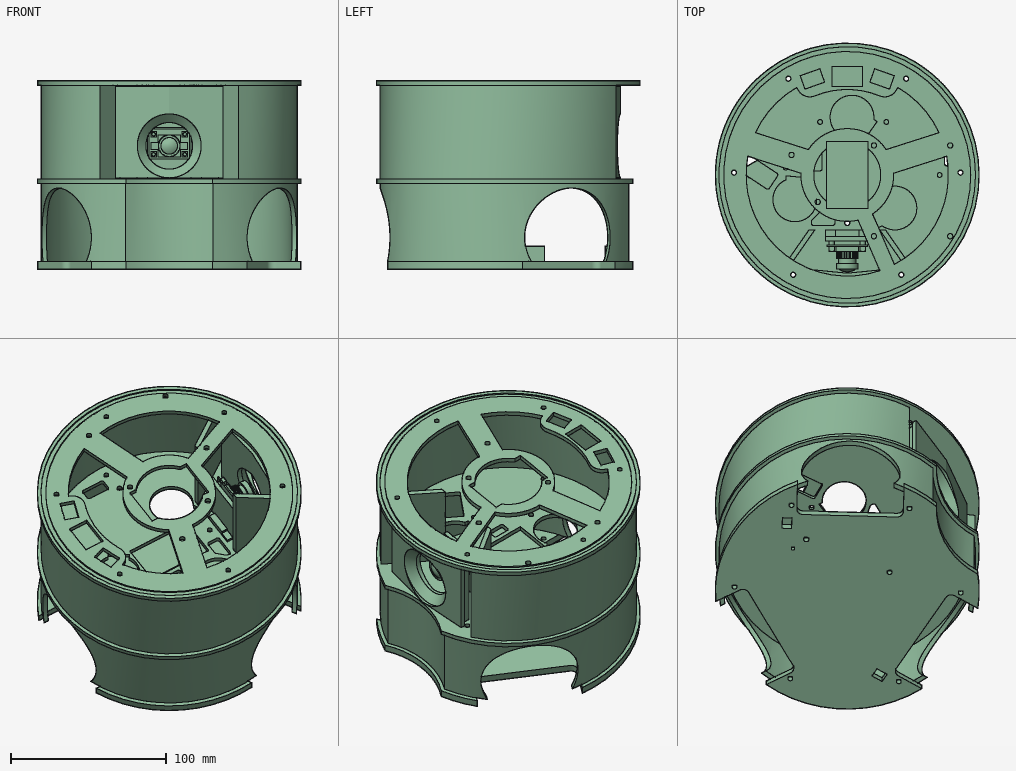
import cadquery as cq
import math

base_thickness = 5.0
plate_thickness = 3.0
total_height = 121.0
mid_bottom = 55.0
mid_top = mid_bottom + plate_thickness
deck_bottom = total_height - plate_thickness

plate_radius = 84.6
shell_radius = 164.5 / 2
shell_inner_radius = 158.4 / 2
shell_wall = shell_radius - shell_inner_radius

scoop_radius = 54.1
scoop_axis_y = -72.2 - scoop_radius
shell_setback = plate_radius - shell_radius
shell_scoop_radius = scoop_radius + shell_setback

wheel_angles = (90, 210, 330)
arch_radius = 31.6
arch_axis_z = 20.5
wheel_notch_half_width = 34.2
wheel_notch_depth = 55.7
wheel_notch_corner = 4.0

screw_diameter = 3.0
deck_hole_diameter = 3.4
small_hole_diameter = 2.2
stack_screws = [(sx * x, y) for x, y in ((72.6, 1.5), (37.7, 61.8), (34.7, -64.0)) for sx in (-1, 1)]
axis_screw = (0, -30.8)

hub_hole_radius = 21.5
hub_slot_width = 26.7
hub_slot_length = 2 * hub_hole_radius

camera_z = 79.2
board_back = -39.5
board_front = -42.3
holder_front = -48.9
board_width = 28.1
board_top = 90.9


def disc(radius, bottom, height):
    """Solid vertical cylinder on the part axis."""
    return cq.Workplane("XY").workplane(offset=bottom).circle(radius).extrude(height)


def scoop(radius, bottom, height):
    """Vertical cylinder that scoops out the front of a plate or shell."""
    return disc(radius, bottom, height).translate((0, scoop_axis_y, 0))


def drill(body, points, diameter, bottom, height):
    """Cut the same round vertical hole at every point."""
    pins = cq.Workplane("XY").workplane(offset=bottom).pushPoints(points)
    return body.cut(pins.circle(diameter / 2).extrude(height))


def block(x_range, y_range, z_range):
    """Box given by its limits along each axis."""
    spans = [high - low for low, high in (x_range, y_range, z_range)]
    corner = (x_range[0], y_range[0], z_range[0])
    return cq.Workplane("XY").box(*spans, centered=False).translate(corner)


def y_cylinder(radius, back, front, x, z):
    """Cylinder along Y from its back face forward to its front face."""
    plane = cq.Workplane("XZ", origin=(x, back, z))
    return plane.circle(radius).extrude(back - front)


def scooped_plate(bottom, thickness):
    """Round plate with the concave front scoop."""
    return disc(plate_radius, bottom, thickness).cut(scoop(scoop_radius, bottom, thickness))


def base_slot(side):
    """Small wire opening in the base beside a front wheel."""
    slot_x = 62.6
    slot_y = 10.2
    slot_length = 7.6
    slot_width = 6.1
    slant = 30
    slot = cq.Workplane("XY").rect(slot_length, slot_width).extrude(base_thickness)
    return slot.rotate((0, 0, 0), (0, 0, 1), -slant * side).translate((side * slot_x, slot_y, 0))


def make_base():
    base = scooped_plate(0, base_thickness)

    notch_length = plate_radius - wheel_notch_depth
    notch = (
        cq.Workplane("XY")
        .center(wheel_notch_depth + notch_length / 2, 0)
        .rect(notch_length, 2 * wheel_notch_half_width)
        .extrude(base_thickness)
        .edges("|Z and <X")
        .fillet(wheel_notch_corner)
    )
    for angle in wheel_angles:
        base = base.cut(notch.rotate((0, 0, 0), (0, 0, 1), angle))

    base = drill(base, stack_screws + [axis_screw], screw_diameter, 0, base_thickness)
    for side in (-1, 1):
        base = base.cut(base_slot(side))

    small_screw = (-44.5, 15.5)
    large_screw = (-46.4, 4.9)
    base = drill(base, [small_screw], small_hole_diameter, 0, base_thickness)
    base = drill(base, [large_screw], deck_hole_diameter, 0, base_thickness)

    pad_top = 14.9
    pad_half_width = 14.0
    pad_half_length = 23.3
    rib_half_width = 8.5
    rib_y = (-66.0, -62.1)
    pad_z = (base_thickness, pad_top)
    base = base.union(block((-pad_half_width, pad_half_width), (-pad_half_length, pad_half_length), pad_z))
    base = base.union(block((-rib_half_width, rib_half_width), rib_y, pad_z))
    return base


def make_lower_shell():
    height = mid_bottom - base_thickness
    outer_scoop = scoop(shell_scoop_radius, base_thickness, height)
    inner_scoop = scoop(shell_scoop_radius + shell_wall, base_thickness, height)
    outside = disc(shell_radius, base_thickness, height).cut(outer_scoop)
    inside = disc(shell_inner_radius, base_thickness, height).cut(inner_scoop)
    shell = outside.cut(inside)

    arch = cq.Workplane("YZ").center(0, arch_axis_z).circle(arch_radius).extrude(plate_radius)
    for angle in wheel_angles:
        shell = shell.cut(arch.rotate((0, 0, 0), (0, 0, 1), angle))
    return shell


def make_middle_plate():
    plate = scooped_plate(mid_bottom, plate_thickness)
    sketch = cq.Workplane("XY").workplane(offset=mid_bottom)

    opening_x = 3.0
    opening_y = 37.0
    opening_diameter = 28.1
    relief_length = 13.5
    relief_width = 11.8
    relief_corner = (19.1, 34.2)
    relief_angle = 234.5
    opening = sketch.center(opening_x, opening_y).circle(opening_diameter / 2).extrude(plate_thickness)
    relief = (
        sketch.rect(relief_length, -relief_width, centered=False)
        .extrude(plate_thickness)
        .rotate((0, 0, 0), (0, 0, 1), relief_angle)
        .translate((*relief_corner, 0))
    )
    for turn in (0, 120, 240):
        plate = plate.cut(opening.union(relief).rotate((0, 0, 0), (0, 0, 1), turn))

    plate = plate.cut(sketch.rect(hub_slot_width, hub_slot_length).extrude(plate_thickness))

    slot_corner = 1.4
    cable_slot_length = 22.8
    cable_slot_width = 12.0
    cable_slot_slant = -33.5
    cable_slot_place = (-56.9, 1.7, 0)
    cable_slot = (
        sketch.rect(cable_slot_length, cable_slot_width)
        .extrude(plate_thickness)
        .edges("|Z")
        .fillet(slot_corner)
        .rotate((0, 0, 0), (0, 0, 1), cable_slot_slant)
        .translate(cable_slot_place)
    )
    plate = plate.cut(cable_slot)

    for x, y, width, length in ((-19.5, 8.5, 6.8, 11.5), (66.3, 13.7, 7.8, 15.9)):
        slot = sketch.center(x, y).rect(width, length).extrude(plate_thickness)
        plate = plate.cut(slot.edges("|Z").fillet(slot_corner))

    corner_slot_outline = [(-23.0, -29.3), (-23.0, -32.3), (-8.0, -32.3), (-8.0, -23.7), (-17.5, -23.7)]
    corner_slot = sketch.polyline(corner_slot_outline).close().extrude(plate_thickness)
    plate = plate.cut(corner_slot.edges("|Z").fillet(slot_corner))

    mount_screws = [(-17.5, 34.0), (25.0, 34.0), (-39.5, 4.7), (59.2, 0), axis_screw]
    return drill(plate, stack_screws + mount_screws, screw_diameter, mid_bottom, plate_thickness)


def make_upper_shell():
    height = deck_bottom - mid_top
    sketch = cq.Workplane("XY").workplane(offset=mid_top)
    ring = sketch.circle(shell_radius).circle(shell_inner_radius).extrude(height)

    back_x = 20.8
    back_y = -35.2
    jamb_slope = 14.0 / 20.1
    front_y = -plate_radius
    front_x = back_x + jamb_slope * (back_y - front_y)
    jamb_width = shell_wall * math.hypot(1, jamb_slope)

    bay = [(-back_x, back_y), (back_x, back_y), (front_x, front_y), (-front_x, front_y)]
    shell = ring.cut(sketch.polyline(bay).close().extrude(height))

    envelope = disc(shell_radius, mid_top, height)
    for side in (-1, 1):
        jamb = [
            (side * back_x, back_y),
            (side * front_x, front_y),
            (side * (front_x + jamb_width), front_y),
            (side * (back_x + jamb_width), back_y),
        ]
        shell = shell.union(sketch.polyline(jamb).close().extrude(height).intersect(envelope))
    return shell


def deck_window(start, end, start_half_spoke, end_half_spoke):
    """Opening between two spokes, from the hub ring to the rim.

    start and end are the centre angles of the spokes, counter-clockwise.
    """
    window_radius = 64.8
    hub_radius = 29.8

    def corner(radius, angle, offset):
        turn = math.radians(angle) + math.asin(offset / radius)
        return (radius * math.cos(turn), radius * math.sin(turn))

    def middle(radius):
        turn = math.radians((start + end) / 2)
        return (radius * math.cos(turn), radius * math.sin(turn))

    return (
        cq.Workplane("XY")
        .workplane(offset=deck_bottom)
        .moveTo(*corner(hub_radius, start, start_half_spoke))
        .lineTo(*corner(window_radius, start, start_half_spoke))
        .threePointArc(middle(window_radius), corner(window_radius, end, -end_half_spoke))
        .lineTo(*corner(hub_radius, end, -end_half_spoke))
        .threePointArc(middle(hub_radius), corner(hub_radius, start, start_half_spoke))
        .close()
        .extrude(plate_thickness)
    )


def make_top_plate():
    deck = disc(plate_radius, deck_bottom, plate_thickness)
    sketch = cq.Workplane("XY").workplane(offset=deck_bottom)

    right_spoke = 17.7
    left_spoke = 180 - right_spoke
    narrow_spoke = 360 - 66.7
    wide_half = 8.0
    narrow_half = 5.0
    back_window = deck_window(right_spoke, left_spoke, wide_half, wide_half)
    left_window = deck_window(left_spoke, narrow_spoke, wide_half, narrow_half)
    right_window = deck_window(narrow_spoke, right_spoke + 360, narrow_half, wide_half)

    land_radius = 54.8
    land_half_angle = math.radians(30)
    land_reach = 76.1
    land_corner = 8.5
    land_x = land_reach * math.sin(land_half_angle)
    land_y = land_reach * math.cos(land_half_angle)
    land = (
        sketch.polyline([(0, 0), (land_x, land_y), (0, land_reach), (-land_x, land_y)])
        .close()
        .extrude(plate_thickness)
        .cut(disc(land_radius, deck_bottom, plate_thickness))
        .edges("|Z and <Y")
        .fillet(land_corner)
    )
    deck = deck.cut(back_window.cut(land)).cut(left_window).cut(right_window)

    deck = deck.cut(disc(hub_hole_radius, deck_bottom, plate_thickness))
    deck = deck.cut(sketch.rect(hub_slot_width, hub_slot_length).extrude(plate_thickness))

    centre_pocket_y = 63.1
    centre_pocket_width = 19.6
    centre_pocket_length = 13.0
    centre_pocket = sketch.center(0, centre_pocket_y).rect(centre_pocket_width, centre_pocket_length)
    deck = deck.cut(centre_pocket.extrude(plate_thickness))
    side_pocket_x = 22.3
    side_pocket_y = 61.6
    side_pocket_width = 13.4
    side_pocket_length = 9.1
    side_pocket_slant = 19.5
    for side in (-1, 1):
        pocket = sketch.rect(side_pocket_width, side_pocket_length).extrude(plate_thickness)
        pocket = pocket.rotate((0, 0, 0), (0, 0, 1), -side_pocket_slant * side)
        pocket = pocket.translate((side * side_pocket_x, side_pocket_y, 0))
        deck = deck.cut(pocket)

    groove_depth = 1.0
    groove = (
        cq.Workplane("XY")
        .workplane(offset=total_height - groove_depth)
        .circle(shell_radius)
        .circle(shell_inner_radius)
        .extrude(groove_depth)
    )
    deck = deck.cut(groove)

    deck_holes = [(-35.7, 12.9), (17.1, 19.0), (-19.0, -17.3), (17.1, -39.3), (66.0, 19.0), (66.0, -39.3)]
    deck = drill(deck, stack_screws, screw_diameter, deck_bottom, plate_thickness)
    return drill(deck, deck_holes, deck_hole_diameter, deck_bottom, plate_thickness)


def make_panel():
    half_width = 34.3
    edge_y = -68.7
    ridge_y = -72.0
    rib_half_width = 31.6
    lip_y = -65.8
    back_y = -63.0
    back_edge_y = back_y + (edge_y - ridge_y) * rib_half_width / half_width
    end_gap = 0.7
    footprint = [
        (-half_width, edge_y),
        (0, ridge_y),
        (half_width, edge_y),
        (half_width, lip_y),
        (rib_half_width, lip_y),
        (rib_half_width, back_edge_y),
        (0, back_y),
        (-rib_half_width, back_edge_y),
        (-rib_half_width, lip_y),
        (-half_width, lip_y),
    ]
    panel = (
        cq.Workplane("XY")
        .workplane(offset=mid_top + end_gap)
        .polyline(footprint)
        .close()
        .extrude(deck_bottom - mid_top - 2 * end_gap)
    )

    hole_radius = 30.0 / 2
    mouth_radius = 20.5
    mouth_y = -70.0
    throat_y = -64.6
    outline = [
        (0, back_edge_y),
        (hole_radius, back_edge_y),
        (hole_radius, throat_y),
        (mouth_radius, mouth_y),
        (mouth_radius, ridge_y),
        (0, ridge_y),
    ]
    window = (
        cq.Workplane("XY")
        .polyline(outline)
        .close()
        .revolve(360, (0, 0, 0), (0, 1, 0))
        .translate((0, 0, camera_z))
    )
    return panel.cut(window)


def make_camera_board():
    half = board_width / 2
    board = block((-half, half), (board_front, board_back), (mid_top, board_top))

    foot_back = -35.2
    foot_centre_half = 7.5
    foot_height = 1.7
    centre_height = 3.4
    foot_y = (board_back, foot_back)
    board = board.union(block((-half, half), foot_y, (mid_top, mid_top + foot_height)))
    centre_z = (mid_top, mid_top + centre_height)
    return board.union(block((-foot_centre_half, foot_centre_half), foot_y, centre_z))


def make_lens_holder():
    flange_back = -44.8
    flange_front = -45.9
    flange_half = 12.9
    flange_z = (70.9, 89.8)
    seat_half = 7.1
    pad_half = 11.7
    pad_inner = 8.1
    tab_half_height = 2.2
    screw_x = 10.0
    screw_z = (73.8, 86.6)
    screw_pad_half = 1.9
    post_radius = 1.7
    screw_radius = 2.2 / 2

    front = (holder_front, flange_front)
    holder = block((-flange_half, flange_half), (flange_front, flange_back), flange_z)

    holder = holder.union(block((-seat_half, seat_half), front, (camera_z - seat_half, camera_z + seat_half)))
    tab_z = (camera_z - tab_half_height, camera_z + tab_half_height)
    holder = holder.union(block((-pad_half, pad_half), front, tab_z))

    for side in (-1, 1):
        pad_x = sorted((side * pad_inner, side * pad_half))
        for z in screw_z:
            pad = block(pad_x, front, (z - screw_pad_half, z + screw_pad_half))
            post = y_cylinder(post_radius, board_front, flange_front, side * screw_x, z)
            screw = y_cylinder(screw_radius, board_front, holder_front, side * screw_x, z)
            holder = holder.union(pad).union(post).cut(screw)
    return holder


def make_lens():
    barrel_radius = 14.0 / 2
    neck_radius = 11.2 / 2
    glass_radius = 10.7 / 2
    knurl_front = -53.6
    neck_front = -56.9
    head_front = -60.4
    dome_front = -62.1
    dome_height = head_front - dome_front
    dome_radius = (glass_radius ** 2 + dome_height ** 2) / (2 * dome_height)
    dome_mid_x = glass_radius / 2
    dome_mid_y = dome_front + dome_radius - math.sqrt(dome_radius ** 2 - dome_mid_x ** 2)
    profile = (
        cq.Workplane("XY")
        .moveTo(0, holder_front)
        .lineTo(barrel_radius, holder_front)
        .lineTo(barrel_radius, knurl_front)
        .lineTo(neck_radius, knurl_front)
        .lineTo(neck_radius, neck_front)
        .lineTo(barrel_radius, neck_front)
        .lineTo(barrel_radius, head_front)
        .lineTo(glass_radius, head_front)
        .threePointArc((dome_mid_x, dome_mid_y), (0, dome_front))
        .close()
    )
    lens = profile.revolve(360, (0, 0, 0), (0, 1, 0)).translate((0, 0, camera_z))

    slot_count = 24
    slot_size = 0.7
    slot_y = (knurl_front, holder_front)
    slot_z = (barrel_radius - slot_size, barrel_radius + slot_size)
    slot = block((-slot_size / 2, slot_size / 2), slot_y, slot_z)
    slot = slot.translate((0, 0, camera_z))
    for index in range(slot_count):
        turn = 360 * index / slot_count
        lens = lens.cut(slot.rotate((0, 0, camera_z), (0, 1, camera_z), turn))
    return lens


base = make_base()
lower_shell = make_lower_shell()
middle_plate = make_middle_plate()
upper_shell = make_upper_shell()
top_plate = make_top_plate()
panel = make_panel()
camera_board = make_camera_board()
lens_holder = make_lens_holder()
lens = make_lens()

result = cq.Compound.makeCompound([
    base.solids().val(),
    lower_shell.solids().val(),
    middle_plate.solids().val(),
    upper_shell.solids().val(),
    top_plate.solids().val(),
    panel.solids().val(),
    camera_board.solids().val(),
    lens_holder.solids().val(),
    lens.solids().val(),
])